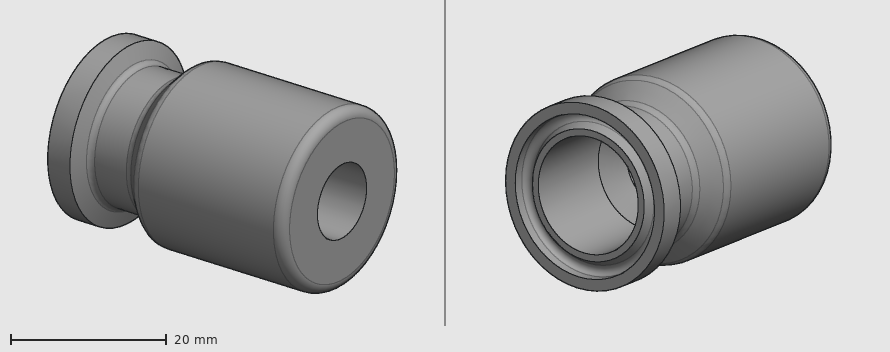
import cadquery as cq
import math

length = 38.1
body_radius = 12.57
flange_radius = 12.5
neck_radius = 9.52
edge_radius = 1.5
flange_root_radius = 0.9
flange_rim_width = 3.62
flange_back_angle = 20.0
shoulder_start = 11.1
shoulder_end = shoulder_start + body_radius - neck_radius

entry_bore_radius = 15.75 / 2
through_bore_radius = 10.4 / 2
bore_taper_angle = 45.0

groove_outer_radius = 21.9 / 2
lip_radius = 8.8
lip_recess = 0.75
lip_taper_angle = 33.0
groove_taper_radius = 9.52


def revolve_profile(sketch):
    """Turn a closed (X, radius) outline about the X axis."""
    return sketch.close().revolve(360, (0, 0, 0), (1, 0, 0))


def round_circle(body, x, radius):
    """Round the circular edge that lies at x along the axis."""
    reach = 0.005
    span = 2 * body_radius
    slab = cq.selectors.BoxSelector((x - reach, -span, -span), (x + reach, span, span), boundingbox=True)
    return body.edges(slab).fillet(radius)


def make_outer_body():
    flange_back_length = (flange_radius - neck_radius) * math.tan(math.radians(flange_back_angle))
    neck_start = flange_rim_width + flange_back_length
    body = revolve_profile(
        cq.Workplane("XY")
        .moveTo(0, 0)
        .lineTo(0, flange_radius)
        .lineTo(flange_rim_width, flange_radius)
        .lineTo(neck_start, neck_radius)
        .lineTo(shoulder_start, neck_radius)
        .lineTo(shoulder_end, body_radius)
        .lineTo(length, body_radius)
        .lineTo(length, 0)
    )
    body = round_circle(body, neck_start, flange_root_radius)
    for corner in (shoulder_start, shoulder_end, length):
        body = round_circle(body, corner, edge_radius)
    return body


def make_bore():
    taper_length = (entry_bore_radius - through_bore_radius) / math.tan(math.radians(bore_taper_angle))
    return revolve_profile(
        cq.Workplane("XY")
        .moveTo(0, 0)
        .lineTo(0, entry_bore_radius)
        .lineTo(shoulder_end, entry_bore_radius)
        .lineTo(shoulder_end + taper_length, through_bore_radius)
        .lineTo(length, through_bore_radius)
        .lineTo(length, 0)
    )


def make_gasket_groove():
    taper_angle = math.radians(lip_taper_angle)
    groove_bottom_radius = (groove_outer_radius - groove_taper_radius) / (1 + math.cos(taper_angle))
    arc_center_radius = groove_outer_radius - groove_bottom_radius
    taper_end = lip_recess + (groove_taper_radius - lip_radius) / math.tan(taper_angle)
    arc_center_x = taper_end - groove_bottom_radius * math.sin(taper_angle)
    arc_bottom = (arc_center_x + groove_bottom_radius, arc_center_radius)
    return revolve_profile(
        cq.Workplane("XY")
        .moveTo(0, 0)
        .lineTo(0, groove_outer_radius)
        .lineTo(arc_center_x, groove_outer_radius)
        .threePointArc(arc_bottom, (taper_end, groove_taper_radius))
        .lineTo(lip_recess, lip_radius)
        .lineTo(lip_recess, 0)
    )


result = make_outer_body().cut(make_gasket_groove()).cut(make_bore())